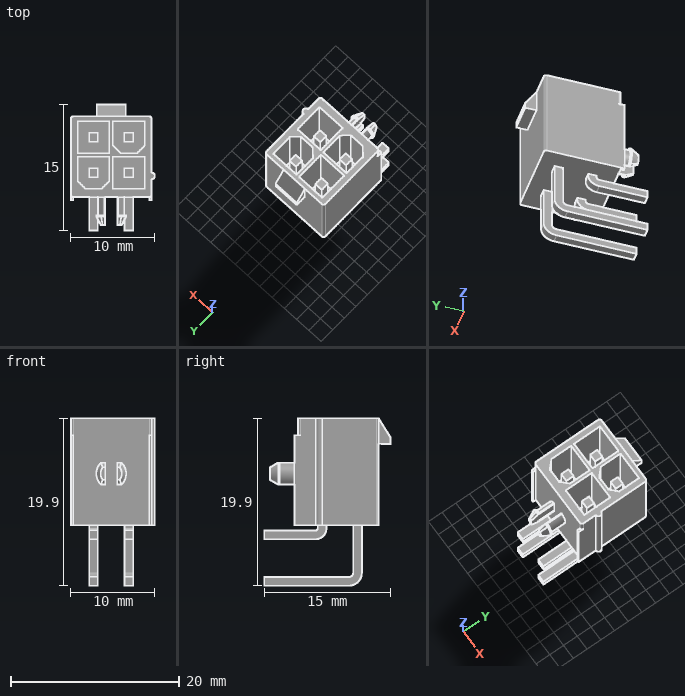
import cadquery as cq

EMBED = 0.2

BODY_SIDE = 9.6
BODY_HEIGHT = 12.75
CORNER_RADIUS = 0.3
HALF_BODY = BODY_SIDE / 2
FRONT_FACE = -HALF_BODY

PITCH = 4.2
GRID_OFFSET_Y = 0.2
CAVITY_SIDE = 3.79
CAVITY_CHAMFER = 0.92
CAVITY_DEPTH = 9.96
LEFT, RIGHT = -PITCH / 2, PITCH / 2
FRONT_ROW, BACK_ROW = GRID_OFFSET_Y - PITCH / 2, GRID_OFFSET_Y + PITCH / 2

PIN_SIDE = 1.05
PIN_TIP_RECESS = 2.99
PIN_REACH = 3.99
BACK_TAIL_BOTTOM = -7.17
FRONT_TAIL_BOTTOM = -1.65
BACK_BEND_RADIUS = 0.52
FRONT_BEND_RADIUS = 0.28

RAIL_PROJECTION = 0.4
RAIL_DROP = 2.01

LATCH_WIDTH = 3.47
LATCH_PROJECTION = 1.42
LATCH_RAMP_DROP = 2.3
LATCH_TIP_DROP = 3.1
LATCH_ROOT_DROP = 3.07

RIB_RADIUS = 0.4
RIB_Y = -2.3

PEG_DROP = 6.6
PEG_SHANK_RADIUS = 1.55
PEG_LIP_RADIUS = 1.77
PEG_TIP_RADIUS = 1.25
PEG_LIP_START = 2.15
PEG_LIP_END = 2.33
PEG_LENGTH = 3.33
PEG_HALF_HEIGHT = 1.32
PEG_TIP_HALF_HEIGHT = 0.74
PEG_SLOT = 1.45


def make_housing():
    """Square block with rounded vertical edges."""
    block = cq.Workplane("XY").box(BODY_SIDE, BODY_SIDE, BODY_HEIGHT, centered=(True, True, False))
    return block.edges("|Z").fillet(CORNER_RADIUS)


def make_cavity(x, y, keyed):
    """Terminal cavity open at the top; a keyed one has its two front corners cut off."""
    cavity = (
        cq.Workplane("XY", origin=(x, y, BODY_HEIGHT - CAVITY_DEPTH))
        .rect(CAVITY_SIDE, CAVITY_SIDE)
        .extrude(CAVITY_DEPTH)
    )
    if keyed:
        cavity = cavity.faces("<Y").edges("|Z").chamfer(CAVITY_CHAMFER)
    return cavity


def make_pin(x, y, tail_bottom, bend_radius):
    """Square pin that bends forward below the housing."""
    back = y + PIN_SIDE / 2
    tail_end = FRONT_FACE - PIN_REACH
    tip = BODY_HEIGHT - PIN_TIP_RECESS
    pin = (
        cq.Workplane("YZ", origin=(x - PIN_SIDE / 2, 0, 0))
        .moveTo(back, tip)
        .lineTo(back, tail_bottom)
        .lineTo(tail_end, tail_bottom)
        .lineTo(tail_end, tail_bottom + PIN_SIDE)
        .lineTo(back - PIN_SIDE, tail_bottom + PIN_SIDE)
        .lineTo(back - PIN_SIDE, tip)
        .close()
        .extrude(PIN_SIDE)
    )
    outer_bend = cq.NearestToPointSelector((x, back, tail_bottom))
    inner_bend = cq.NearestToPointSelector((x, back - PIN_SIDE, tail_bottom + PIN_SIDE))
    pin = pin.edges("|X").edges(outer_bend).fillet(bend_radius + PIN_SIDE)
    return pin.edges("|X").edges(inner_bend).fillet(bend_radius)


def make_rail(side):
    """Thin rail along one front edge, flush with the side wall."""
    center_x = side * (HALF_BODY - CORNER_RADIUS / 2)
    depth = RAIL_PROJECTION + CORNER_RADIUS
    height = BODY_HEIGHT - RAIL_DROP
    rail = cq.Workplane("XY").box(CORNER_RADIUS, depth, height, centered=(True, False, False))
    return rail.translate((center_x, FRONT_FACE - RAIL_PROJECTION, 0))


def make_latch():
    """Ramp on the rear wall."""
    tip = HALF_BODY + LATCH_PROJECTION
    return (
        cq.Workplane("YZ", origin=(-LATCH_WIDTH / 2, 0, 0))
        .moveTo(HALF_BODY - EMBED, BODY_HEIGHT)
        .lineTo(HALF_BODY, BODY_HEIGHT)
        .lineTo(tip, BODY_HEIGHT - LATCH_RAMP_DROP)
        .lineTo(tip, BODY_HEIGHT - LATCH_TIP_DROP)
        .lineTo(HALF_BODY, BODY_HEIGHT - LATCH_ROOT_DROP)
        .lineTo(HALF_BODY - EMBED, BODY_HEIGHT - LATCH_ROOT_DROP)
        .close()
        .extrude(LATCH_WIDTH)
    )


def make_rib():
    """Round-nosed rib over the full height of the +X wall."""
    return (
        cq.Workplane("XY")
        .moveTo(HALF_BODY - EMBED, RIB_Y - RIB_RADIUS)
        .lineTo(HALF_BODY, RIB_Y - RIB_RADIUS)
        .threePointArc((HALF_BODY + RIB_RADIUS, RIB_Y), (HALF_BODY, RIB_Y + RIB_RADIUS))
        .lineTo(HALF_BODY - EMBED, RIB_Y + RIB_RADIUS)
        .close()
        .extrude(BODY_HEIGHT)
    )


def make_peg():
    """Snap peg on the front wall: turned shape, flattened above and below, split by a slot."""
    turned = (
        cq.Workplane("XY")
        .moveTo(0, EMBED)
        .lineTo(PEG_SHANK_RADIUS, EMBED)
        .lineTo(PEG_SHANK_RADIUS, -PEG_LIP_START)
        .lineTo(PEG_LIP_RADIUS, -PEG_LIP_START)
        .lineTo(PEG_LIP_RADIUS, -PEG_LIP_END)
        .lineTo(PEG_TIP_RADIUS, -PEG_LENGTH)
        .lineTo(0, -PEG_LENGTH)
        .close()
        .revolve(360, (0, 0, 0), (0, 1, 0))
    )
    flats = (
        cq.Workplane("YZ")
        .moveTo(EMBED, -PEG_HALF_HEIGHT)
        .lineTo(-PEG_LIP_END, -PEG_HALF_HEIGHT)
        .lineTo(-PEG_LENGTH, -PEG_TIP_HALF_HEIGHT)
        .lineTo(-PEG_LENGTH, PEG_TIP_HALF_HEIGHT)
        .lineTo(-PEG_LIP_END, PEG_HALF_HEIGHT)
        .lineTo(EMBED, PEG_HALF_HEIGHT)
        .close()
        .extrude(PEG_LIP_RADIUS, both=True)
    )
    slot = cq.Workplane("XY").box(PEG_SLOT, 2 * PEG_LENGTH, 2 * PEG_LIP_RADIUS)
    peg = turned.intersect(flats).cut(slot)
    return peg.translate((0, FRONT_FACE, BODY_HEIGHT - PEG_DROP))


result = make_housing()
for side in (-1, 1):
    result = result.union(make_rail(side))
result = result.union(make_latch()).union(make_rib()).union(make_peg())

for x, y, keyed in (
    (LEFT, BACK_ROW, False),
    (RIGHT, BACK_ROW, True),
    (LEFT, FRONT_ROW, True),
    (RIGHT, FRONT_ROW, False),
):
    result = result.cut(make_cavity(x, y, keyed))

for x in (LEFT, RIGHT):
    result = result.union(make_pin(x, BACK_ROW, BACK_TAIL_BOTTOM, BACK_BEND_RADIUS))
    result = result.union(make_pin(x, FRONT_ROW, FRONT_TAIL_BOTTOM, FRONT_BEND_RADIUS))